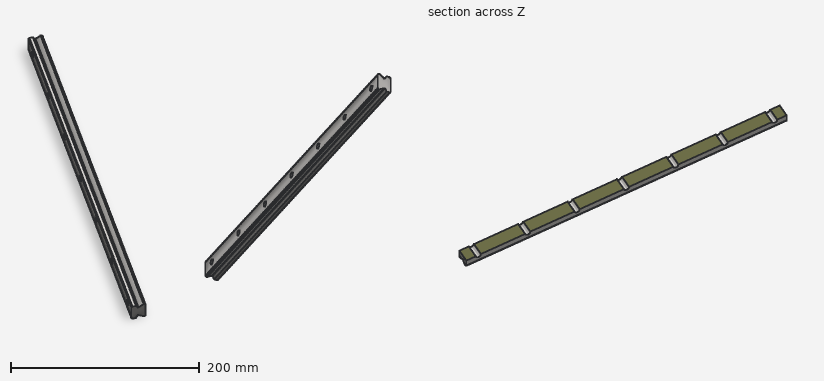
import cadquery as cq

length = 390.0
depth = 15.5
height = 20.0
edge_chamfer = 1.0

groove_depth = 3.5
groove_floor_front = -0.8
groove_floor_back = 0.0
groove_mouth_front = -2.92
groove_mouth_back = 5.5
shoulder_position = 4.3
shoulder_depth = 0.98

hole_count = 7
hole_pitch = 60.0
hole_diameter = 6.0


def make_bar():
    """Rectangular bar with its four long edges chamfered."""
    return cq.Workplane("XY").box(length, depth, height).edges("|X").chamfer(edge_chamfer)


def make_upper_groove():
    """Prism that cuts the groove with a steep front flank and a shallow, shouldered back flank."""
    top = height / 2
    floor = top - groove_depth
    return (
        cq.Workplane("YZ")
        .moveTo(groove_mouth_front, top)
        .lineTo(groove_floor_front, floor)
        .lineTo(groove_floor_back, floor)
        .lineTo(shoulder_position, top - shoulder_depth)
        .lineTo(groove_mouth_back, top)
        .close()
        .extrude(length / 2, both=True)
    )


def make_holes():
    """Row of plain through holes along Y."""
    return (
        cq.Workplane("XZ")
        .rarray(hole_pitch, 4, hole_count, 1)
        .circle(hole_diameter / 2)
        .extrude(depth, both=True)
    )


upper_groove = make_upper_groove()
lower_groove = upper_groove.mirror("XY")
result = make_bar().cut(upper_groove).cut(lower_groove).cut(make_holes())